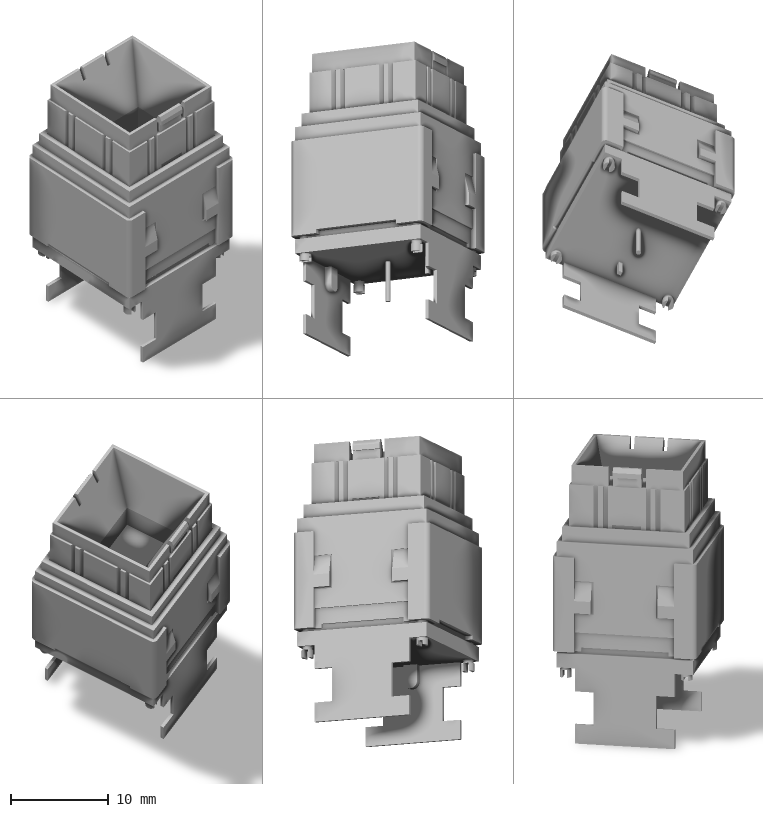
import cadquery as cq


plate_foot_top_z = 2.02
plate_shoulder_z = 5.55
base_bottom_z = 8.0
base_top_z = 9.5
cover_bottom_z = 9.8
notch_top_z = 10.2
rim_top_z = 11.85
cover_top_z = 19.83
well_floor_z = cover_top_z
shoulder_z = 21.35
housing_top_z = 22.85
sleeve_top_z = 27.23
button_top_z = 29.25

cover_half = 15.0 / 2
body_half = 7.15
collar_half = 6.65
foot_half = 6.7
well_half = 6.1
sleeve_half = 6.03
lens_half = 5.82

funnel_top_half = 5.5
funnel_bottom_half_x = 2.75
funnel_bottom_half_y = 3.7
groove_diameter = 0.5
groove_places = [-3.25, -2.22, 2.22, 3.25]
latch_half_width = 1.5
latch_slot_width = 0.47
latch_slot_inner_x = 5.0
latch_bottom_z = 28.23
latch_peak_z = 28.75
recess_top_z = 23.2
recess_depth = 0.15

cover_corner_radius = 0.5
opening_half = 5.2
rim_recess_half = 6.93
notch_half_width = 4.53
catch_inner_y = 3.48
catch_inner_x = 7.02
catch_bottom_z = 13.98
catch_edge_z = 15.3
catch_top_z = 17.2
window_clearance_y = 0.2
window_clearance_z = 0.15

peg_diameter = 1.2
peg_neck_diameter = 1.05
peg_offset = 6.32
plain_peg_bottom_z = 7.28
clip_peg_bottom_z = 6.87
peg_slot_top_z = 7.7
peg_slot_width = 0.5

plate_thickness = 0.35
plate_waist_half = 3.28
tab_inner_x = 6.08
tab_diameter = 1.5
long_pin_diameter = 0.5
long_pin_bottom_z = 3.8
short_pin_width = 0.4
short_pin_x = -4.5
short_pin_bottom_z = 6.23

SIDES = (-1, 1)


def box(x0, x1, y0, y1, z0, z1):
    """Box between two opposite corners; each pair of limits may come in either order."""
    return (
        cq.Workplane("XY")
        .box(abs(x1 - x0), abs(y1 - y0), abs(z1 - z0))
        .translate(((x0 + x1) / 2, (y0 + y1) / 2, (z0 + z1) / 2))
    )


def square(half, z0, z1):
    """Square block centred on the Z axis."""
    return box(-half, half, -half, half, z0, z1)


def cylinder(x, y, diameter, z0, z1):
    """Upright cylinder."""
    return cq.Workplane("XY", origin=(x, y, z0)).circle(diameter / 2).extrude(z1 - z0)


def xz_prism(points, y0, y1):
    """Outline of (x, z) points, extruded from y0 to y1."""
    return cq.Workplane("XZ", origin=(0, y0, 0)).polyline(points).close().extrude(y0 - y1)



def funnel():
    """Light opening through the button: tapered at the top, straight-sided below."""
    shaft = box(
        -funnel_bottom_half_x, funnel_bottom_half_x,
        -funnel_bottom_half_y, funnel_bottom_half_y,
        well_floor_z, housing_top_z,
    )
    taper = (
        cq.Workplane("XY", origin=(0, 0, housing_top_z))
        .rect(2 * funnel_bottom_half_x, 2 * funnel_bottom_half_y)
        .workplane(offset=button_top_z - housing_top_z)
        .rect(2 * funnel_top_half, 2 * funnel_top_half)
        .loft(combine=True)
    )
    return shaft.union(taper)


def latch(side):
    """Snap nose on the tongue between the two slots."""
    outline = [
        (side * lens_half, button_top_z),
        (side * sleeve_half, latch_peak_z),
        (side * sleeve_half, latch_bottom_z),
        (side * lens_half, latch_bottom_z),
    ]
    return xz_prism(outline, -latch_half_width, latch_half_width)


def make_button():
    body = square(sleeve_half, well_floor_z, sleeve_top_z)
    body = body.union(square(lens_half, sleeve_top_z, button_top_z)).cut(funnel())
    for side in SIDES:
        for place in groove_places:
            body = body.cut(cylinder(place, side * sleeve_half, groove_diameter, well_floor_z, sleeve_top_z))
            body = body.cut(cylinder(side * sleeve_half, place, groove_diameter, well_floor_z, sleeve_top_z))
        for end in SIDES:
            slot = box(
                side * latch_slot_inner_x, side * lens_half,
                end * latch_half_width, end * (latch_half_width + latch_slot_width),
                sleeve_top_z, button_top_z,
            )
            body = body.cut(slot)
        recess = box(
            side * (sleeve_half - recess_depth), side * sleeve_half,
            -latch_half_width, latch_half_width,
            well_floor_z, recess_top_z,
        )
        body = body.cut(recess).union(latch(side))
    return body



def make_peg(side_x, side_y):
    """Slotted peg; pegs on one diagonal are plain, the other two have a neck above a clip head."""
    x = side_x * peg_offset
    y = side_y * peg_offset
    if side_x == side_y:
        bottom_z = plain_peg_bottom_z
        peg = cylinder(x, y, peg_diameter, bottom_z, cover_bottom_z)
    else:
        bottom_z = clip_peg_bottom_z
        peg = cylinder(x, y, peg_neck_diameter, bottom_z, cover_bottom_z)
        peg = peg.union(cylinder(x, y, peg_diameter, bottom_z, peg_slot_top_z))
    slot = box(
        x - peg_diameter, x + peg_diameter,
        y - peg_slot_width / 2, y + peg_slot_width / 2,
        bottom_z, peg_slot_top_z,
    )
    return peg.cut(slot)


def make_housing():
    body = square(foot_half, base_top_z, rim_top_z)
    body = body.union(square(body_half, rim_top_z, shoulder_z))
    body = body.union(square(collar_half, shoulder_z, housing_top_z))
    body = body.cut(square(well_half, well_floor_z, housing_top_z))
    for side_x in SIDES:
        for side_y in SIDES:
            window = box(
                side_x * catch_inner_x, side_x * body_half,
                side_y * (catch_inner_y - window_clearance_y), side_y * opening_half,
                catch_bottom_z - window_clearance_z, catch_top_z + window_clearance_z,
            )
            body = body.cut(window).union(make_peg(side_x, side_y))
    return body



def catch(side_x, side_y):
    """Ramped catch that reaches from the edge of a side opening into a housing window."""
    outline = [
        (side_x * catch_inner_x, catch_bottom_z),
        (side_x * cover_half, catch_bottom_z),
        (side_x * cover_half, catch_edge_z),
        (side_x * catch_inner_x, catch_top_z),
    ]
    return xz_prism(outline, side_y * catch_inner_y, side_y * opening_half)


def make_cover():
    body = square(cover_half, cover_bottom_z, cover_top_z).edges("|Z").fillet(cover_corner_radius)
    body = body.cut(square(foot_half, cover_bottom_z, rim_top_z))
    body = body.cut(square(body_half, rim_top_z, cover_top_z))
    for side in SIDES:
        body = body.cut(
            box(side * foot_half, side * cover_half, -opening_half, opening_half, rim_top_z, cover_top_z)
        )
        body = body.cut(
            box(side * rim_recess_half, side * cover_half, -opening_half, opening_half,
                cover_bottom_z, rim_top_z)
        )
    body = body.cut(
        box(-cover_half, cover_half, -notch_half_width, notch_half_width, cover_bottom_z, notch_top_z)
    )
    body = body.cut(
        box(-notch_half_width, notch_half_width, -cover_half, cover_half, cover_bottom_z, notch_top_z)
    )
    for side_x in SIDES:
        for side_y in SIDES:
            body = body.union(catch(side_x, side_y))
    return body



def plate(side):
    """Mounting plate with a waist, hanging flush with one side of the base."""
    inner_x = side * (body_half - plate_thickness)
    outer_x = side * body_half
    body = box(inner_x, outer_x, -opening_half, opening_half, plate_shoulder_z, base_bottom_z)
    body = body.union(
        box(inner_x, outer_x, -plate_waist_half, plate_waist_half, plate_foot_top_z, plate_shoulder_z)
    )
    return body.union(box(inner_x, outer_x, -opening_half, opening_half, 0, plate_foot_top_z))


def locating_tab():
    """Round-ended tab against the inside of the +X plate."""
    radius = tab_diameter / 2
    center_z = plate_shoulder_z + radius
    outer_x = body_half - plate_thickness
    body = box(tab_inner_x, outer_x, -radius, radius, center_z, base_bottom_z)
    round_end = (
        cq.Workplane("YZ", origin=(tab_inner_x, 0, center_z)).circle(radius).extrude(outer_x - tab_inner_x)
    )
    return body.union(round_end)


def make_base():
    body = square(body_half, base_bottom_z, base_top_z)
    for side_x in SIDES:
        body = body.union(plate(side_x))
        for side_y in SIDES:
            hole = cylinder(
                side_x * peg_offset, side_y * peg_offset, peg_diameter, base_bottom_z, base_top_z
            )
            body = body.cut(hole)
    return body.union(locating_tab()).cut(make_long_pin()).cut(make_short_pin())



def make_long_pin():
    """Round pin on the Z axis, let into the base."""
    return cylinder(0, 0, long_pin_diameter, long_pin_bottom_z, base_top_z)


def make_short_pin():
    """Square pin, let into the base."""
    half = short_pin_width / 2
    return box(short_pin_x - half, short_pin_x + half, -half, half, short_pin_bottom_z, base_top_z)


button = make_button()
housing = make_housing()
cover = make_cover()
base = make_base()
long_pin = make_long_pin()
short_pin = make_short_pin()

result = cq.Compound.makeCompound(
    [button.val(), housing.val(), cover.val(), base.val(), long_pin.val(), short_pin.val()]
)